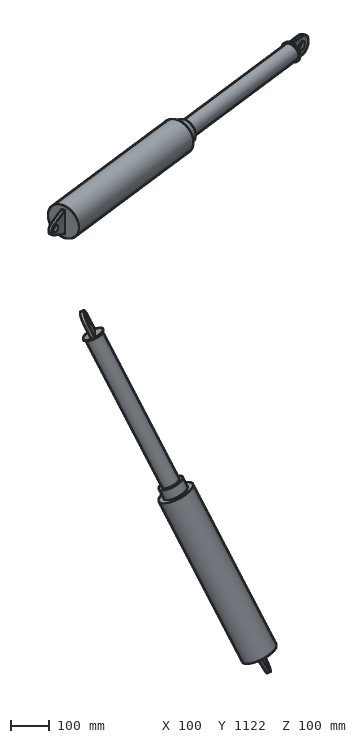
import cadquery as cq
import math

total_length = 1122.0

barrel_diameter = 100.0
barrel_length = 500.0
collar_diameter = 70.0
collar_length = 30.0
lug_length = 58.0
lug_base_height = 73.0
lug_tip_radius = 18.0
lug_hole_diameter = 20.0

rod_diameter = 50.0
flange_diameter = 58.0
flange_thickness = 3.0
eye_hole_diameter = 25.0
eye_length = 68.0

plate_thickness = 10.0

collar_front = barrel_length + collar_length
rod_rear = barrel_length
eye_tip = total_length - lug_length
flange_front = eye_tip - eye_length
flange_rear = flange_front - flange_thickness


def disc(diameter, y_start, y_end):
    """Solid cylinder along the Y axis between two stations."""
    base = cq.Workplane("XZ", origin=(0, y_start, 0)).circle(diameter / 2)
    return base.extrude(y_start - y_end)


def plate(outline):
    """Extrude a YZ outline symmetrically about the X = 0 plane."""
    return outline.extrude(plate_thickness / 2, both=True)


def cross_hole(diameter, y):
    """Cutter along X through a mounting plate."""
    outline = cq.Workplane("YZ").center(y, 0).circle(diameter / 2)
    return plate(outline)


def make_lug():
    """Tapered plate whose straight flanks are tangent to its round tip."""
    tip_center = lug_tip_radius - lug_length
    half_base = lug_base_height / 2
    corner_distance = math.hypot(tip_center, half_base)
    corner_angle = math.atan2(-tip_center, half_base)
    tangent_angle = math.acos(lug_tip_radius / corner_distance) - corner_angle
    tangent_y = tip_center - lug_tip_radius * math.sin(tangent_angle)
    tangent_z = lug_tip_radius * math.cos(tangent_angle)
    outline = (
        cq.Workplane("YZ")
        .moveTo(0, half_base)
        .lineTo(tangent_y, tangent_z)
        .threePointArc((-lug_length, 0), (tangent_y, -tangent_z))
        .lineTo(0, -half_base)
        .close()
    )
    return plate(outline).cut(cross_hole(lug_hole_diameter, tip_center))


def make_eye():
    """Plate with a full-round end, as wide as the flange."""
    radius = flange_diameter / 2
    center_y = eye_tip - radius
    outline = (
        cq.Workplane("YZ")
        .moveTo(flange_front, -radius)
        .lineTo(center_y, -radius)
        .threePointArc((eye_tip, 0), (center_y, radius))
        .lineTo(flange_front, radius)
        .close()
    )
    return plate(outline).cut(cross_hole(eye_hole_diameter, center_y))


def make_cylinder():
    """Barrel with a bored collar at the front and a lug at the rear."""
    barrel = disc(barrel_diameter, 0, barrel_length)
    collar = disc(collar_diameter, barrel_length, collar_front)
    bore = disc(rod_diameter, rod_rear, collar_front)
    return barrel.union(collar).cut(bore).union(make_lug())


def make_rod():
    """Shaft with a flange and an eye at its front end."""
    shaft = disc(rod_diameter, rod_rear, flange_rear)
    flange = disc(flange_diameter, flange_rear, flange_front)
    return shaft.union(flange).union(make_eye())


cylinder = make_cylinder()
rod = make_rod()

result = cq.Compound.makeCompound([cylinder.val(), rod.val()])